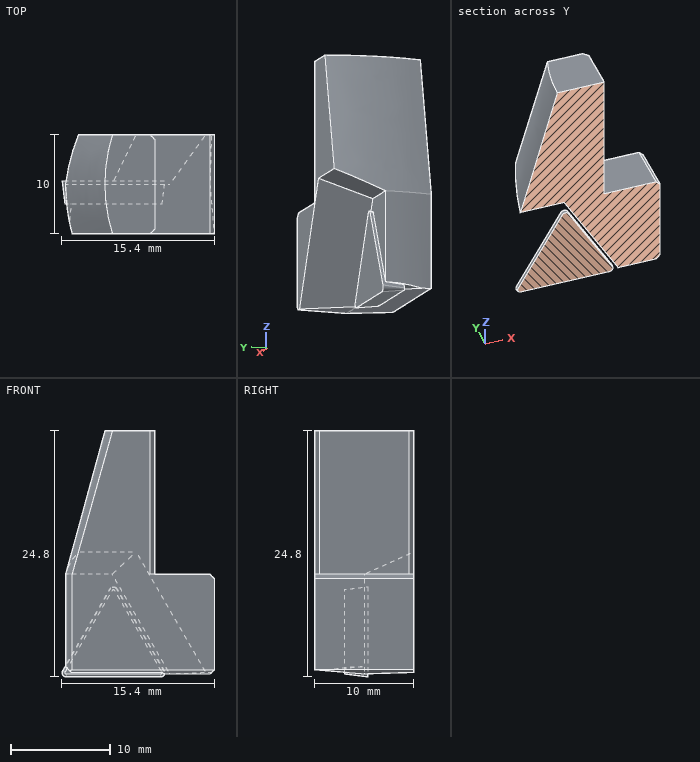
import cadquery as cq
import math

body_length = 15.0
body_width = 10.0
half_width = body_width / 2
total_height = 24.8
shoulder_height = 10.35
riser_back = 9.0
riser_chamfer = 0.5
foot_chamfer = 0.45

nose_crown = 0.67
top_nose_x = 3.97
top_crown = 0.77

underside_front = 0.72
underside_middle = 0.3
underside_back = 0.45
nose_bevel_height = 1.05

pocket_roof_side = 12.6
pocket_wall_start = 10.66
pocket_wall_end = 14.38
pocket_overrun = 1.25

insert_left = -0.35
insert_side = 10.95
insert_radius = 0.42
insert_thickness = 2.33
insert_face_y = 0.35
insert_clearance = 7.0


def crowned_profile(z, nose_x, crown, back):
    """Horizontal section with an arc nose and a square back."""
    return (
        cq.Workplane("XY", origin=(0, 0, z))
        .moveTo(nose_x + crown, half_width)
        .threePointArc((nose_x, 0), (nose_x + crown, -half_width))
        .lineTo(back, -half_width)
        .lineTo(back, half_width)
        .close()
    )


def make_foot():
    """Lower block with its relieved underside and bevelled ends."""
    foot = crowned_profile(0, 0, nose_crown, body_length).extrude(shoulder_height)
    cross_section = (
        cq.Workplane("YZ")
        .polyline([
            (-half_width, underside_front),
            (0, underside_middle),
            (half_width, underside_back),
            (half_width, shoulder_height),
            (-half_width, shoulder_height),
        ])
        .close()
        .extrude(body_length)
    )
    side_outline = (
        cq.Workplane("XZ", origin=(0, half_width, 0))
        .polyline([
            (0, nose_bevel_height),
            (nose_bevel_height - underside_middle, underside_middle),
            (body_length - foot_chamfer, underside_middle),
            (body_length, underside_middle + foot_chamfer),
            (body_length, shoulder_height - foot_chamfer),
            (body_length - foot_chamfer, shoulder_height),
            (0, shoulder_height),
        ])
        .close()
        .extrude(body_width)
    )
    return foot.intersect(cross_section).intersect(side_outline)


def make_riser():
    """Upper block whose crowned nose leans back towards the top."""
    lower = crowned_profile(shoulder_height, 0, nose_crown, riser_back)
    upper = crowned_profile(total_height, top_nose_x, top_crown, riser_back)
    riser = cq.Workplane(cq.Solid.makeLoft([lower.val(), upper.val()], True))
    envelope = (
        cq.Workplane("XY", origin=(0, 0, shoulder_height))
        .box(riser_back, body_width, total_height - shoulder_height, centered=(False, True, False))
        .edges("|Z and >X")
        .chamfer(riser_chamfer)
    )
    return riser.intersect(envelope)


def pocket_section(y, wall_foot_x, roof_height):
    """Pocket outline at one station across the width; its end wall leans over the insert."""
    roof_x = wall_foot_x - roof_height * math.tan(math.radians(30))
    return (
        cq.Workplane("XZ", origin=(0, y, 0))
        .polyline([
            (-pocket_overrun, 0),
            (wall_foot_x, 0),
            (roof_x, roof_height),
            (-pocket_overrun, roof_height),
        ])
        .close()
        .val()
    )


def make_chip_pocket():
    """Cutter with a flat floor at mid width, a sloping roof and a wall parallel to the insert."""
    floor = pocket_section(0, pocket_wall_start, shoulder_height)
    mouth = pocket_section(half_width, pocket_wall_end, pocket_roof_side)
    return cq.Workplane(cq.Solid.makeLoft([floor, mouth], True))


def make_insert():
    """Rounded equilateral triangle, tapering from its cutting face at +Y towards -Y."""
    corner_loss = insert_radius * (1 / math.tan(math.radians(30)) - 1)
    corner_x = insert_left - corner_loss
    triangle_height = insert_side * math.sin(math.radians(60))
    outline = (
        cq.Sketch()
        .polygon([
            (corner_x, 0),
            (corner_x + insert_side, 0),
            (corner_x + insert_side / 2, triangle_height),
            (corner_x, 0),
        ])
        .vertices()
        .fillet(insert_radius)
    )
    return (
        cq.Workplane("XZ", origin=(0, insert_face_y, 0))
        .placeSketch(outline)
        .extrude(insert_thickness, taper=insert_clearance)
    )


insert = make_insert()
holder = make_foot().union(make_riser()).cut(make_chip_pocket()).cut(insert)

result = cq.Compound.makeCompound([holder.val(), insert.val()])